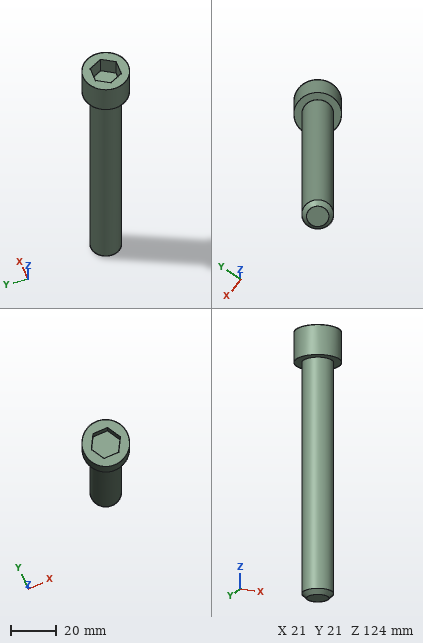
import cadquery as cq
import math

total_length = 124.0
head_diameter = 21.0
shank_diameter = 14.0
head_height = shank_diameter
shank_length = total_length - head_height
tip_chamfer = 2.1
socket_across_flats = 12.0
socket_depth = 8.0


def make_shank():
    shank = cq.Workplane("XY").circle(shank_diameter / 2).extrude(shank_length)
    return shank.faces("<Z").chamfer(tip_chamfer)


def make_head():
    head = cq.Workplane("XY").workplane(offset=shank_length)
    return head.circle(head_diameter / 2).extrude(head_height)


def make_socket():
    across_corners = socket_across_flats / math.cos(math.pi / 6)
    floor = cq.Workplane("XY").workplane(offset=total_length - socket_depth)
    return floor.polygon(6, across_corners).extrude(socket_depth)


result = make_shank().union(make_head()).cut(make_socket())